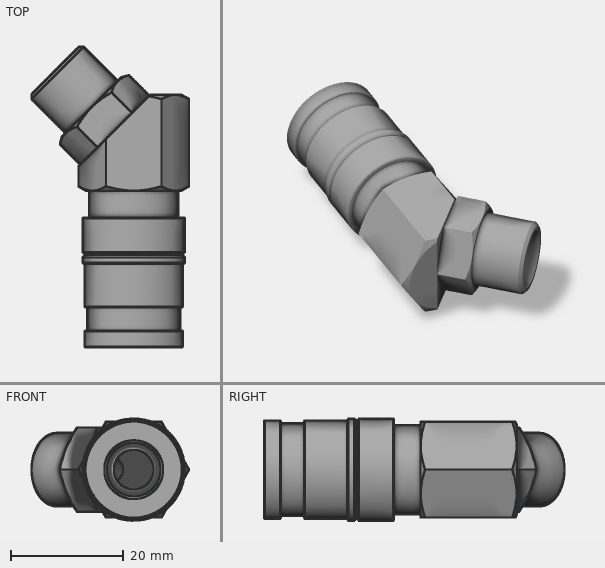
import cadquery as cq
import math

elbow_y = 35.3
branch_angle = 45.0

body_radius = 8.75
collar_radius = 9.1
recess_radius = 8.3
neck_radius = 7.95
rim_length = 3.05
recess_end = 7.1
body_end = 14.8
ridge_chamfer = 0.25
ridge_end = 16.0
groove_start = 16.4
collar_start = 16.95
collar_end = 23.15
edge_chamfer = 0.2

body_hex_flats = 17.05
body_hex_start = 27.85
body_hex_length = 17.1
body_hex_chamfer_radius = 8.45
branch_hex_flats = 15.05
branch_hex_start = 4.75
branch_hex_end = 10.6
branch_hex_chamfer_radius = 7.5
hex_chamfer_angle = 30.0

spigot_radius = 6.6
spigot_end = 19.75
spigot_chamfer = 0.6

socket_radius = 4.75
socket_depth = 21.4
socket_chamfer = 0.5
bore_radius = 3.55
bore_depth = 41.35
branch_bore_radius = 2.95
seat_radius = 5.25
seat_depth = 3.7


def revolve_profile(points):
    """Revolve (radius, Y) points, closed along the Y axis, about that axis."""
    return cq.Workplane("XY").polyline(points).close().revolve(360, (0, 0), (0, 1))


def cylinder(radius, start, end):
    return revolve_profile([(0, start), (radius, start), (radius, end), (0, end)])


def hexagon(flats, start, end, face_radius, chamfer_start):
    """Hexagonal prism along Y with conical corner chamfers at its far end, and optionally at its start."""
    corner_radius = flats / 2 / math.cos(math.radians(30))
    chamfer_length = (corner_radius - face_radius) * math.tan(math.radians(hex_chamfer_angle))
    prism = (
        cq.Workplane("XZ", origin=(0, start, 0))
        .polygon(6, 2 * corner_radius)
        .extrude(start - end)
    )
    if chamfer_start:
        start_points = [(0, start), (face_radius, start), (corner_radius, start + chamfer_length)]
    else:
        start_points = [(0, start), (corner_radius, start)]
    end_points = [(corner_radius, end - chamfer_length), (face_radius, end), (0, end)]
    return prism.intersect(revolve_profile(start_points + end_points))


def to_branch(shape):
    """Move a shape built along Y onto the branch axis."""
    return shape.rotate((0, 0, 0), (0, 0, 1), branch_angle).translate((0, elbow_y, 0))


def make_sleeve():
    return revolve_profile([
        (0, 0),
        (body_radius - edge_chamfer, 0),
        (body_radius, edge_chamfer),
        (body_radius, rim_length - edge_chamfer),
        (body_radius - edge_chamfer, rim_length),
        (recess_radius, rim_length),
        (recess_radius, recess_end),
        (body_radius - edge_chamfer, recess_end),
        (body_radius, recess_end + edge_chamfer),
        (body_radius, body_end),
        (collar_radius, body_end + ridge_chamfer),
        (collar_radius, ridge_end),
        (body_radius, groove_start),
        (body_radius, collar_start - edge_chamfer),
        (collar_radius, collar_start),
        (collar_radius, collar_end - edge_chamfer),
        (collar_radius - edge_chamfer, collar_end),
        (neck_radius, collar_end),
        (neck_radius, body_hex_start),
        (0, body_hex_start),
    ])


def make_body_hex():
    """Hexagon cut off square to the branch axis where the branch begins."""
    hex_end = body_hex_start + body_hex_length
    prism = hexagon(body_hex_flats, body_hex_start, hex_end, body_hex_chamfer_radius, True)
    cutter_size = 2 * body_hex_length
    cutter = (
        cq.Workplane("XY")
        .box(cutter_size, cutter_size, cutter_size)
        .translate((0, branch_hex_start + cutter_size / 2, 0))
    )
    return prism.cut(to_branch(cutter))


def make_branch():
    hex_part = hexagon(
        branch_hex_flats, branch_hex_start, branch_hex_end, branch_hex_chamfer_radius, False
    )
    spigot = revolve_profile([
        (0, branch_hex_start),
        (spigot_radius, branch_hex_start),
        (spigot_radius, spigot_end - spigot_chamfer),
        (spigot_radius - spigot_chamfer, spigot_end),
        (0, spigot_end),
    ])
    return to_branch(hex_part.union(spigot))


def make_main_bore():
    return revolve_profile([
        (0, 0),
        (socket_radius + socket_chamfer, 0),
        (socket_radius, socket_chamfer),
        (socket_radius, socket_depth),
        (bore_radius, socket_depth),
        (bore_radius, bore_depth),
        (0, bore_depth),
    ])


def make_branch_bore():
    """Bore from the crossing of the axes, opening into a conical seat at the spigot end."""
    seat_start = spigot_end - seat_depth
    bore = cylinder(branch_bore_radius, 0, seat_start)
    seat = revolve_profile([
        (0, seat_start),
        (branch_bore_radius, seat_start),
        (seat_radius, spigot_end),
        (0, spigot_end),
    ])
    return to_branch(bore.union(seat))


solid_body = make_sleeve().union(make_body_hex()).union(make_branch())
result = solid_body.cut(make_main_bore()).cut(make_branch_bore())